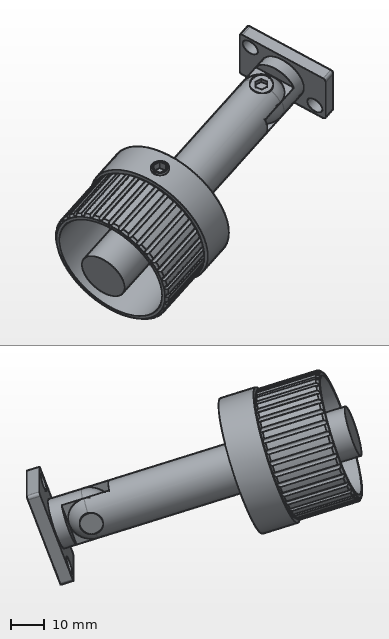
import cadquery as cq
import math

plate_thickness = 4.0
stub_end = 8.0
tongue_round_center = 14.5
pivot_distance = 15.0
slot_end = 23.0
collar_start = 62.4
collar_end = 73.4
grip_end = 93.6
shaft_end = 97.5

plate_width = 31.2
plate_height = 18.7
plate_corner_radius = 1.0
mount_hole_diameter = 5.5
mount_hole_x = 11.7
mount_hole_z = 5.5
tongue_thickness = 7.0

shaft_diameter = 15.5
shaft_radius = shaft_diameter / 2
pin_diameter = 7.0
pin_length = 14.8
pin_socket_flats = 3.5
pin_socket_depth = 1.5

collar_diameter = 42.4
collar_radius = collar_diameter / 2
set_screw_distance = (collar_start + collar_end) / 2
set_screw_diameter = 5.6
set_screw_protrusion = 0.3
set_screw_top = collar_radius + set_screw_protrusion
set_screw_chamfer = 0.5
set_screw_socket_flats = 3.6
set_screw_socket_depth = 2.9

socket_turn = 8.0

grip_radius = 20.5
grip_bore_radius = 18.6
grip_chamfer = 0.8
groove_count = 36
groove_radius = 0.7
groove_start_angle = 1.0
full_turn = 360


def rod(radius, start, end):
    """Cylinder on the Y axis between two axial distances."""
    return cq.Workplane("XZ", origin=(0, -start, 0)).circle(radius).extrude(end - start)


def upright_rod(diameter, distance, bottom, top):
    """Vertical cylinder on the shaft axis at an axial distance."""
    return cq.Workplane("XY", origin=(0, -distance, bottom)).circle(diameter / 2).extrude(top - bottom)


def hex_socket(flats, depth, distance, top):
    """Vertical hexagonal recess that opens at the given height."""
    corner_diameter = flats / math.cos(math.pi / 6)
    socket = cq.Workplane("XY", origin=(0, -distance, top)).polygon(6, corner_diameter).extrude(-depth)
    return socket.rotate((0, -distance, 0), (0, -distance, 1), socket_turn)


def ball(distance):
    """Ball of the shaft radius, centred on the shaft axis."""
    return cq.Workplane("XY", origin=(0, -distance, 0)).sphere(shaft_radius)


def tongue_slab(start, end):
    """Horizontal slab of the tongue thickness, twice as wide as the shaft."""
    length = end - start
    slab_center = (0, -(start + end) / 2, 0)
    return cq.Workplane("XY", origin=slab_center).box(2 * shaft_diameter, length, tongue_thickness)


pivot_bore = upright_rod(pin_diameter, pivot_distance, -shaft_radius, shaft_radius)


def make_foot():
    """Rectangular plate with two diagonal holes, a round stub and a tongue with a rounded end."""
    plate = cq.Workplane("XZ").rect(plate_width, plate_height).extrude(plate_thickness)
    plate = plate.edges("|Y").fillet(plate_corner_radius)
    mount_hole_places = [(-mount_hole_x, mount_hole_z), (mount_hole_x, -mount_hole_z)]
    mount_holes = cq.Workplane("XZ").pushPoints(mount_hole_places).circle(mount_hole_diameter / 2)
    mount_holes = mount_holes.extrude(plate_thickness)
    stub = rod(shaft_radius, plate_thickness, stub_end)
    tongue = rod(shaft_radius, stub_end, tongue_round_center).union(ball(tongue_round_center))
    tongue = tongue.intersect(tongue_slab(stub_end, slot_end))
    return plate.cut(mount_holes).union(stub).union(tongue).cut(pivot_bore)


def make_shaft():
    """Round shaft whose forked, rounded end straddles the tongue."""
    blank = rod(shaft_radius, pivot_distance, shaft_end).union(ball(pivot_distance))
    return blank.cut(tongue_slab(0, slot_end)).cut(pivot_bore)


def make_pivot_pin():
    """Pin through fork and tongue, with a hexagonal socket on top."""
    top = pin_length / 2
    pin = upright_rod(pin_diameter, pivot_distance, -top, top)
    return pin.cut(hex_socket(pin_socket_flats, pin_socket_depth, pivot_distance, top))


def make_collar():
    """Ring on the shaft, drilled from above for the set screw."""
    shaft_bore = rod(shaft_radius, collar_start, collar_end)
    screw_bore = upright_rod(set_screw_diameter, set_screw_distance, 0, collar_radius)
    return rod(collar_radius, collar_start, collar_end).cut(shaft_bore).cut(screw_bore)


def make_set_screw():
    """Set screw that bears on the shaft and stands slightly above the collar."""
    screw = upright_rod(set_screw_diameter, set_screw_distance, 0, set_screw_top)
    screw = screw.faces(">Z").chamfer(set_screw_chamfer)
    screw = screw.cut(rod(shaft_radius, collar_start, collar_end))
    return screw.cut(
        hex_socket(set_screw_socket_flats, set_screw_socket_depth, set_screw_distance, set_screw_top)
    )


def make_grip():
    """Thin sleeve against the collar, chamfered at both ends and fluted all round."""
    sleeve = rod(grip_radius, collar_end, grip_end).edges().chamfer(grip_chamfer)
    sleeve = sleeve.cut(rod(grip_bore_radius, collar_end, grip_end))
    grooves = (
        cq.Workplane("XZ", origin=(0, -collar_end, 0))
        .polarArray(grip_radius, groove_start_angle, full_turn, groove_count)
        .circle(groove_radius)
        .extrude(grip_end - collar_end)
    )
    return sleeve.cut(grooves)


foot = make_foot()
shaft = make_shaft()
pivot_pin = make_pivot_pin()
collar = make_collar()
set_screw = make_set_screw()
grip = make_grip()

result = cq.Compound.makeCompound(
    [foot.val(), shaft.val(), pivot_pin.val(), collar.val(), set_screw.val(), grip.val()]
)